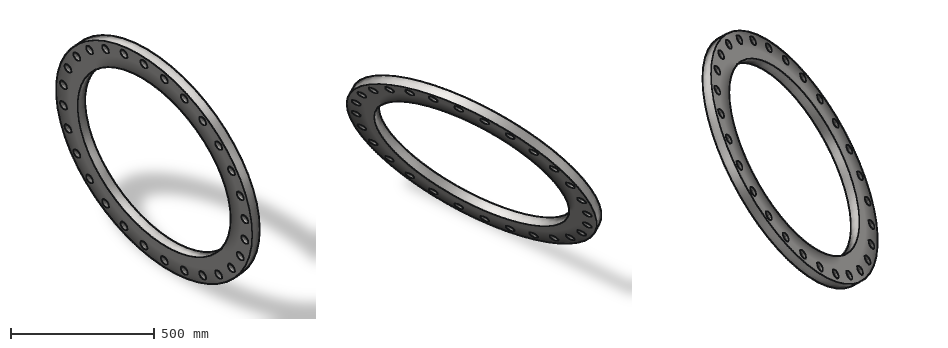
import cadquery as cq

outer_diameter = 984.0
bore_diameter = 767.0
thickness = 37.0

bolt_circle_diameter = 915.0
bolt_hole_diameter = 34.0
bolt_count = 28
bolt_pitch_angle = 360.0 / bolt_count


def make_ring():
    """Flat ring with its axis along Y, centred on the origin."""
    return (
        cq.Workplane("XZ", origin=(0, thickness / 2, 0))
        .circle(outer_diameter / 2)
        .circle(bore_diameter / 2)
        .extrude(thickness)
    )


def make_bolt_holes():
    """Through-hole cutters, starting half a pitch away from the X axis."""
    return (
        cq.Workplane("XZ", origin=(0, thickness / 2, 0))
        .polarArray(bolt_circle_diameter / 2, bolt_pitch_angle / 2, 360, bolt_count)
        .circle(bolt_hole_diameter / 2)
        .extrude(thickness)
    )


result = make_ring().cut(make_bolt_holes())